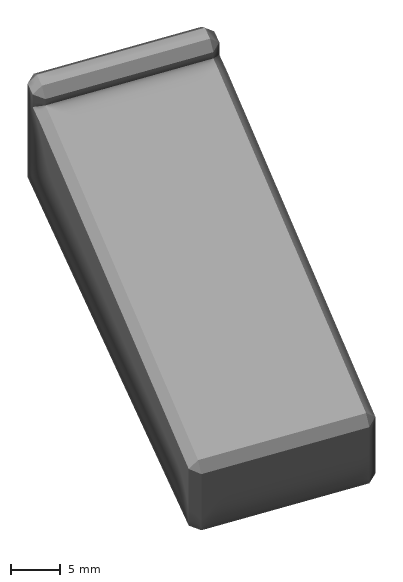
import cadquery as cq

length = 50.0
width = 20.0
height = 16.0

lip_thickness = 3.5
ledge_end = 5.0
ledge_height = 14.0
far_end_height = 10.0
chamfer_size = 1.0

wedge = (
    cq.Workplane("XZ")
    .moveTo(0, 0)
    .lineTo(length, 0)
    .lineTo(length, far_end_height)
    .lineTo(ledge_end, ledge_height)
    .lineTo(lip_thickness, ledge_height)
    .lineTo(lip_thickness, height)
    .lineTo(0, height)
    .close()
    .extrude(width / 2, both=True)
)

lip_top_edges = wedge.faces(">Z").edges("|Y")
far_top_edge = wedge.faces(">X").edges("|Y and >Z")

side_edges = wedge.faces("<Y or >Y").edges("not <Z")

result = side_edges.add(lip_top_edges).add(far_top_edge).chamfer(chamfer_size)